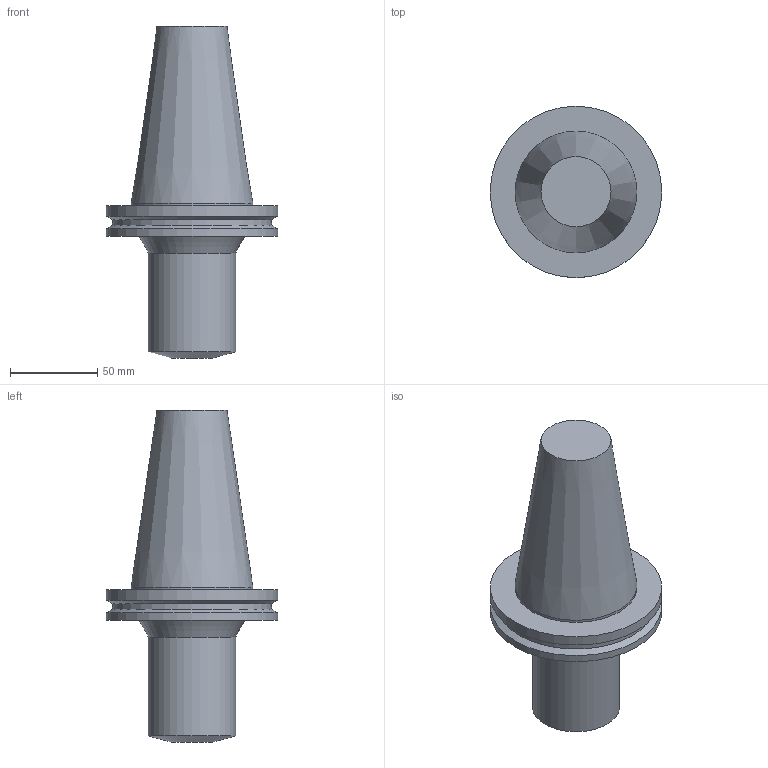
import cadquery as cq
import math


gauge_diameter = 69.85
taper_length = 101.6
taper_ratio = 7 / 24
small_end_diameter = gauge_diameter - taper_length * taper_ratio

flange_diameter = 98.42
flange_top_z = -1.5
flange_bottom_z = -19.05
groove_floor_diameter = 91.29
groove_floor_width = 3.2
groove_center_z = -11.113
groove_wall_angle = 30

overall_length = 190.5
shank_diameter = 50
shank_bottom_z = taper_length - overall_length
tip_diameter = 24
tip_angle = 15

neck_top_diameter = 61.2
neck_height = 9.7
neck_sag = 0.23

gauge_radius = gauge_diameter / 2
small_end_radius = small_end_diameter / 2
flange_radius = flange_diameter / 2
groove_floor_radius = groove_floor_diameter / 2
shank_radius = shank_diameter / 2
tip_radius = tip_diameter / 2
neck_top_radius = neck_top_diameter / 2
neck_bottom_z = flange_bottom_z - neck_height
tip_height = (shank_radius - tip_radius) * math.tan(math.radians(tip_angle))


def make_body():
    """Revolve the taper, ungrooved flange, neck and shank about the Z axis."""
    chord_radial = neck_top_radius - shank_radius
    chord = math.hypot(chord_radial, neck_height)
    neck_middle = (
        (neck_top_radius + shank_radius) / 2 - neck_sag * neck_height / chord,
        (flange_bottom_z + neck_bottom_z) / 2 + neck_sag * chord_radial / chord,
    )
    profile = (
        cq.Workplane("YZ")
        .moveTo(0, taper_length)
        .lineTo(small_end_radius, taper_length)
        .lineTo(gauge_radius, 0)
        .lineTo(gauge_radius, flange_top_z)
        .lineTo(flange_radius, flange_top_z)
        .lineTo(flange_radius, flange_bottom_z)
        .lineTo(neck_top_radius, flange_bottom_z)
        .threePointArc(neck_middle, (shank_radius, neck_bottom_z))
        .lineTo(shank_radius, shank_bottom_z + tip_height)
        .lineTo(tip_radius, shank_bottom_z)
        .lineTo(0, shank_bottom_z)
        .close()
    )
    return profile.revolve(360, (0, 0), (0, 1))


def make_groove():
    """Ring that cuts the V-groove with its flat floor into the flange rim."""
    groove_depth = flange_radius - groove_floor_radius
    floor_half_width = groove_floor_width / 2
    mouth_half_width = floor_half_width + groove_depth * math.tan(math.radians(groove_wall_angle))
    profile = cq.Workplane("YZ").polyline([
        (groove_floor_radius, groove_center_z + floor_half_width),
        (flange_radius, groove_center_z + mouth_half_width),
        (flange_radius, groove_center_z - mouth_half_width),
        (groove_floor_radius, groove_center_z - floor_half_width),
    ]).close()
    return profile.revolve(360, (0, 0), (0, 1))


result = make_body().cut(make_groove())